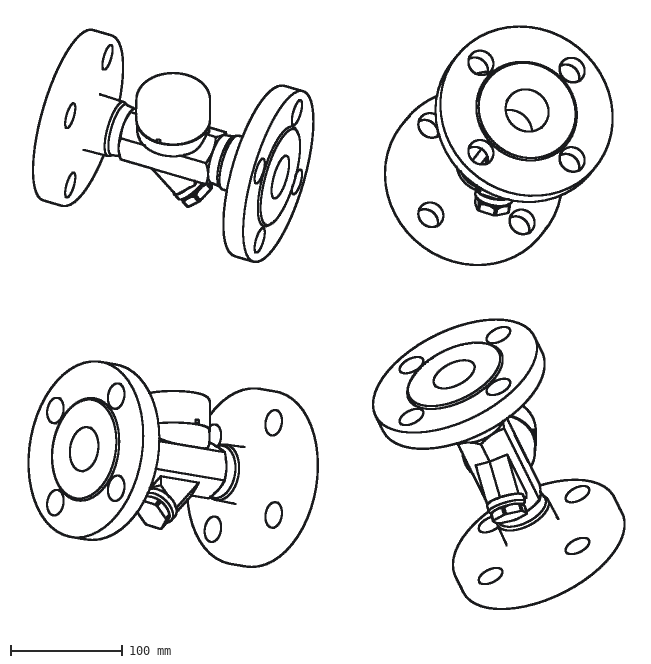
import cadquery as cq
import math

face_to_face = 210.0

flange_dia = 160.0
flange_thickness = 20.4
raised_face_height = 2.0
flange_edge_fillet = 2.5
raised_face_dia = 89.9
raised_face_base_dia = 93.2
bolt_hole_dia = 23.0
bolt_spacing = 84.6
bore_dia = 40.0

neck_root_fillet = 3.5
neck_root_radius = 26.0
neck_shoulder_x = 56.3
neck_shoulder_radius = 25.5
neck_step_x = 53.3
neck_step_radius = 23.7
neck_waist_x = 48.5
neck_dia = 46.0

body_length = 87.8
body_flats = 45.0
body_end_dia = 44.7
body_end_chamfer_angle = 60.0

cap_dia = 66.5
cap_top_z = 61.5
cap_skirt_z = 31.5
cap_top_fillet = 5.5
seat_dia = 65.0
seat_bottom_z = 13.5
seat_fillet = 6.3
knob_radius = 1.9
knob_z = 34.0

leg_axis_offset = 16.8
leg_flats = 30.7
leg_corner_radius = 16.8
leg_flat_edge = 7.5
leg_start = -4.2
leg_end = 37.4
leg_trim_x = 27.5
leg_root_depth = 26.2
collar_dia = 34.0
collar_end = 46.0
collar_chamfer = 2.5
plug_flats = 29.0
plug_corner_dia = 32.3
plug_end = 53.8
plug_inner_chamfer = 1.5

half_length = face_to_face / 2
flange_outer_x = half_length - raised_face_height
flange_inner_x = flange_outer_x - flange_thickness
flange_radius = flange_dia / 2
body_half_length = body_length / 2
body_corner_radius = body_flats / 2 / math.cos(math.pi / 6)
leg_plane = cq.Plane(
    origin=(-leg_axis_offset / math.sqrt(2), 0, -leg_axis_offset / math.sqrt(2)),
    xDir=(-1, 0, -1),
    normal=(1, 0, -1),
)


def hexagonal_bar(workplane, across_flats, length):
    """Hexagonal bar whose local X axis runs through two of its corners."""
    corner_dia = across_flats / math.cos(math.pi / 6)
    return workplane.polygon(6, corner_dia).extrude(length)


def flanged_end():
    """Flange and neck on the +X side, with the bolt holes and the bore."""
    root_x = flange_inner_x - neck_root_fillet
    arc_drop = neck_root_fillet * (1 - math.sqrt(0.5))
    solid = (
        cq.Workplane("XY")
        .moveTo(body_half_length, 0)
        .lineTo(body_half_length, body_end_dia / 2)
        .lineTo(neck_waist_x, neck_dia / 2)
        .lineTo(neck_step_x, neck_step_radius)
        .lineTo(neck_shoulder_x, neck_shoulder_radius)
        .lineTo(root_x, neck_root_radius)
        .threePointArc(
            (flange_inner_x - arc_drop, neck_root_radius + arc_drop),
            (flange_inner_x, neck_root_radius + neck_root_fillet),
        )
        .lineTo(flange_inner_x, flange_radius - flange_edge_fillet)
        .radiusArc((flange_inner_x + flange_edge_fillet, flange_radius), flange_edge_fillet)
        .lineTo(flange_outer_x, flange_radius)
        .lineTo(flange_outer_x, raised_face_base_dia / 2)
        .lineTo(half_length, raised_face_dia / 2)
        .lineTo(half_length, 0)
        .close()
        .revolve(360, (0, 0), (1, 0))
    )
    bolt_holes = (
        cq.Workplane("YZ", origin=(flange_inner_x, 0, 0))
        .rect(bolt_spacing, bolt_spacing, forConstruction=True)
        .vertices()
        .circle(bolt_hole_dia / 2)
        .extrude(half_length - flange_inner_x)
    )
    bore = (
        cq.Workplane("YZ", origin=(body_half_length, 0, 0))
        .circle(bore_dia / 2)
        .extrude(half_length - body_half_length)
    )
    return solid.cut(bolt_holes).cut(bore)


def body():
    """Hexagonal bar along X with its corners turned down to a cone at both ends."""
    bar = hexagonal_bar(
        cq.Workplane(cq.Plane((-body_half_length, 0, 0), xDir=(0, 0, 1), normal=(1, 0, 0))),
        body_flats,
        body_length,
    )
    end_radius = body_end_dia / 2
    cone_length = (body_corner_radius - end_radius) / math.tan(math.radians(body_end_chamfer_angle))
    turned = (
        cq.Workplane("YZ", origin=(-body_half_length, 0, 0))
        .circle(body_corner_radius)
        .extrude(body_length)
        .faces("<X or >X")
        .chamfer(cone_length, body_corner_radius - end_radius)
    )
    return bar.intersect(turned)


def cap():
    """Round seat with the screwed cap on top and a small round knob on each side of it."""
    seat = (
        cq.Workplane("XY", origin=(0, 0, seat_bottom_z))
        .circle(seat_dia / 2)
        .extrude(cap_skirt_z - seat_bottom_z)
        .faces("<Z")
        .edges()
        .fillet(seat_fillet)
    )
    cover = (
        cq.Workplane("XY", origin=(0, 0, cap_skirt_z))
        .circle(cap_dia / 2)
        .extrude(cap_top_z - cap_skirt_z)
        .faces(">Z")
        .edges()
        .fillet(cap_top_fillet)
    )
    knobs = (
        cq.Workplane("XY", origin=(0, 0, knob_z))
        .pushPoints([(0, -cap_dia / 2), (0, cap_dia / 2)])
        .sphere(knob_radius)
    )
    return seat.union(cover).union(knobs)


def strainer_leg():
    """Sloping leg with a V-shaped underside, its collar and the screwed plug."""
    half_flats = leg_flats / 2
    block = (
        cq.Workplane(leg_plane)
        .workplane(offset=leg_start)
        .moveTo(leg_corner_radius, 0)
        .lineTo(leg_flat_edge, half_flats)
        .lineTo(-leg_root_depth, half_flats)
        .lineTo(-leg_root_depth, -half_flats)
        .lineTo(leg_flat_edge, -half_flats)
        .close()
        .extrude(leg_end - leg_start)
    )
    beyond_trim = cq.Workplane("YZ", origin=(leg_trim_x, 0, 0)).rect(face_to_face, face_to_face)
    block = block.cut(beyond_trim.extrude(half_length))

    collar = (
        cq.Workplane(leg_plane)
        .workplane(offset=leg_end)
        .circle(collar_dia / 2)
        .extrude(collar_end - leg_end)
        .faces(">(1,0,-1)")
        .chamfer(collar_chamfer)
    )
    plug_plane = cq.Workplane(leg_plane).workplane(offset=collar_end)
    plug_length = plug_end - collar_end
    turned = (
        plug_plane.circle(plug_corner_dia / 2)
        .extrude(plug_length)
        .faces("<(1,0,-1)")
        .chamfer(plug_inner_chamfer)
    )
    plug = hexagonal_bar(plug_plane, plug_flats, plug_length).intersect(turned)
    return block.union(collar).union(plug)


outlet = flanged_end()
inlet = outlet.mirror("YZ")
result = body().union(outlet).union(inlet).union(cap()).union(strainer_leg())